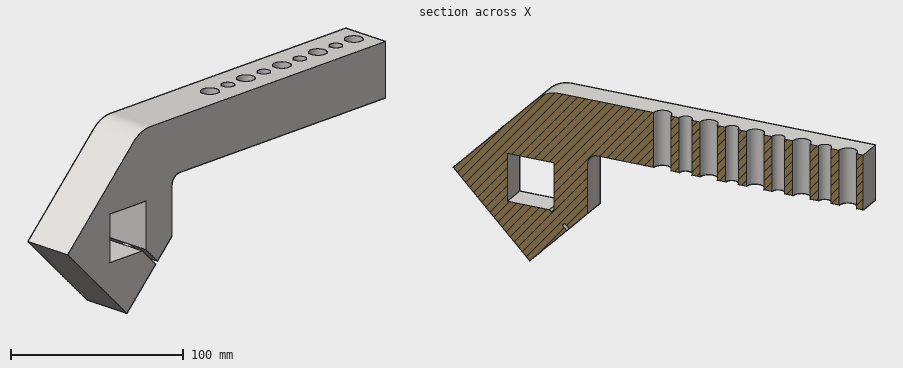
import cadquery as cq
import math

WIDTH = 32.0
BAR_HEIGHT = 35.0
WINDOW_FROM_REAR = 215.0
WINDOW_DEPTH = 60.0
OUTER_BEND_RADIUS = 20.0
INNER_BEND_RADIUS = 6.0

HEAD_WIDTH = 70.0
HEAD_END_DISTANCE = 36.0
WALL_FROM_WINDOW = 37.0
WINDOW_SIZE = 30.0

SLIT_WIDTH = 2.0
PIN_DIAMETER = 10.0
PIN_FROM_MOUTH = 9.0
PIN_EMBED = 1.0

HOLE_COUNT = 9
HOLE_PITCH = 15.0
FIRST_HOLE_FROM_REAR = 10.0
LARGE_HOLE_DIAMETER = 11.0
SMALL_HOLE_DIAMETER = 8.0

HEAD_ANGLE = 45.0
DIAGONAL = math.sqrt(0.5)
TOP_Z = WINDOW_DEPTH
BAR_BOTTOM_Z = TOP_Z - BAR_HEIGHT
HALF_HEAD = HEAD_WIDTH / 2
HEAD_FACE_RISE = HALF_HEAD / DIAGONAL
HEAD_OFFSET = HALF_HEAD * DIAGONAL
END_OFFSET = HEAD_END_DISTANCE * DIAGONAL


def side_plate(profile):
    """Extrude a Y-Z profile symmetrically over the full width."""
    return profile.extrude(WIDTH / 2, both=True)


def make_body():
    """Bar and angled head as one plate with both bends rounded."""
    bend = (TOP_Z - HEAD_FACE_RISE, TOP_Z)
    front_tip = (-END_OFFSET - HEAD_OFFSET, HEAD_OFFSET - END_OFFSET)
    lower_tip = (HEAD_OFFSET - END_OFFSET, -END_OFFSET - HEAD_OFFSET)
    wall_foot = (WALL_FROM_WINDOW, WALL_FROM_WINDOW - HEAD_FACE_RISE)
    inner_bend = (WALL_FROM_WINDOW, BAR_BOTTOM_Z)
    profile = cq.Workplane("YZ").polyline([
        (WINDOW_FROM_REAR, TOP_Z),
        bend,
        front_tip,
        lower_tip,
        wall_foot,
        inner_bend,
        (WINDOW_FROM_REAR, BAR_BOTTOM_Z),
    ]).close()
    body = side_plate(profile)
    for (y, z), radius in ((bend, OUTER_BEND_RADIUS), (inner_bend, INNER_BEND_RADIUS)):
        body = body.edges(cq.selectors.NearestToPointSelector((0, y, z))).fillet(radius)
    return body


def make_window():
    """Square window through the head, centred on the origin."""
    return side_plate(cq.Workplane("YZ").rect(WINDOW_SIZE, WINDOW_SIZE))


def make_slit():
    """Slit from the window's lower rear corner out through the head face.

    Its upper side lies on the diagonal through the window centre.
    """
    slit = cq.Workplane("XY").box(WIDTH, HALF_HEAD, SLIT_WIDTH, centered=(True, False, False))
    slit = slit.translate((0, 0, -SLIT_WIDTH))
    return slit.rotate((0, 0, 0), (1, 0, 0), -HEAD_ANGLE)


def make_pin():
    """Round pin square to the slit, trimmed where it would enter the window."""
    pin = (
        cq.Workplane("XY")
        .center(0, HALF_HEAD - PIN_FROM_MOUTH)
        .circle(PIN_DIAMETER / 2)
        .extrude(SLIT_WIDTH + 2 * PIN_EMBED)
        .translate((0, 0, -SLIT_WIDTH - PIN_EMBED))
    )
    return pin.rotate((0, 0, 0), (1, 0, 0), -HEAD_ANGLE).cut(make_window())


def drill_holes(body):
    """Drill alternating large and small holes down through the bar."""
    for index in range(HOLE_COUNT):
        diameter = SMALL_HOLE_DIAMETER if index % 2 else LARGE_HOLE_DIAMETER
        y = WINDOW_FROM_REAR - FIRST_HOLE_FROM_REAR - index * HOLE_PITCH
        hole = (
            cq.Workplane("XY", origin=(0, y, BAR_BOTTOM_Z))
            .circle(diameter / 2)
            .extrude(BAR_HEIGHT)
        )
        body = body.cut(hole)
    return body


bracket = drill_holes(make_body())
bracket = bracket.cut(make_window()).cut(make_slit())
result = bracket.union(make_pin())